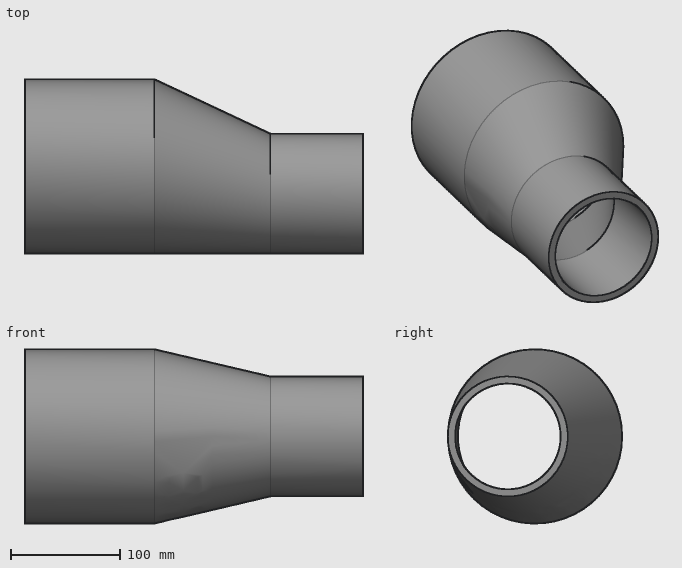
import cadquery as cq

total_length = 310.0
large_length = 118.7
small_length = 85.0
large_outer_diameter = 160.0
large_bore_diameter = 141.0
small_outer_diameter = 110.0
small_bore_diameter = 96.7

cone_length = total_length - large_length - small_length
small_start = large_length + cone_length
axis_offset = (large_outer_diameter - small_outer_diameter) / 2


def stepped_body(large_diameter, small_diameter):
    """Large cylinder, slanted cone and small cylinder joined end to end."""
    large_end = cq.Workplane("YZ").circle(large_diameter / 2).extrude(large_length)
    cone = (
        cq.Workplane("YZ", origin=(large_length, 0, 0))
        .circle(large_diameter / 2)
        .workplane(offset=cone_length)
        .center(-axis_offset, 0)
        .circle(small_diameter / 2)
        .loft(ruled=True)
    )
    small_end = (
        cq.Workplane("YZ", origin=(small_start, -axis_offset, 0))
        .circle(small_diameter / 2)
        .extrude(small_length)
    )
    return large_end.union(cone).union(small_end)


outer_body = stepped_body(large_outer_diameter, small_outer_diameter)
bore = stepped_body(large_bore_diameter, small_bore_diameter)

result = outer_body.cut(bore)